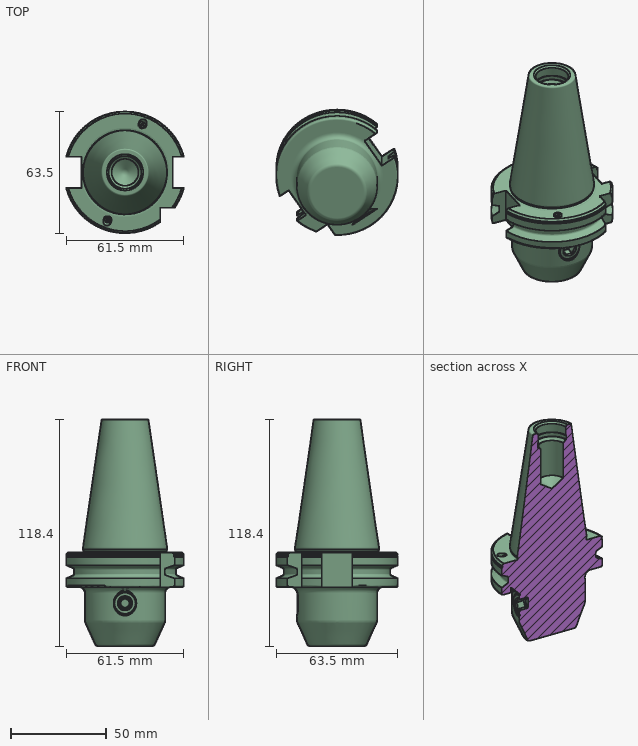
import cadquery as cq
import math


GAUGE_DIAMETER = 44.45
TAPER_LENGTH = 68.4
TAPER_RATIO = 7 / 24
TAPER_END_Z = 1.5
SHANK_TOP_FILLET = 0.75
COLLAR_END_Z = 0.55

UNDERCUT_RADIAL_DEPTH = 0.3
UNDERCUT_RAMP_HEIGHT = 0.9
UNDERCUT_FACE_DEPTH = 0.25
UNDERCUT_FACE_RADIUS = 23.2
NECK_FILLET = 0.6

FLANGE_RADIUS = 63.54 / 2
FLANGE_TOP_Z = -0.95
FLANGE_BOTTOM_Z = -19.1
FLANGE_TOP_CHAMFER = 1.1
FLANGE_BOTTOM_FILLET = 1.0

GROOVE_Z = -11.1
GROOVE_FLOOR_RADIUS = 27.85
GROOVE_FLOOR_FILLET = 0.8
GROOVE_MOUTH_WIDTH = 6.9
GROOVE_FLANK_ANGLE = 24.0

RIM_GROOVE_WIDTH = 1.4
RIM_GROOVE_DEPTH = 0.4

SLOT_WIDTH = 16.1
SLOT_DEEP_X = -22.8
SLOT_SHALLOW_X = 25.0
NOTCH_DISTANCE = 18.5

BODY_RADIUS = 21.0
BODY_FLANGE_FILLET = 3.0
NOSE_START_Z = -37.1
NOSE_END_Z = -50.0
NOSE_END_RADIUS = 15.1
NOSE_SHOULDER_FILLET = 2.5
NOSE_END_FILLET = 2.0

PILOT_RADIUS = 8.5
PILOT_DEPTH = 8.4
PILOT_MOUTH_CHAMFER = 1.0
PILOT_UNDERCUT_RADIUS = 8.9
PILOT_UNDERCUT_WIDTH = 2.4
THREAD_RADIUS = 7.0
THREAD_DEPTH = 30.0
DRILL_TIP_ANGLE = 118.0

SCREW_Z = -27.5
SCREW_RADIUS = 6.0
SCREW_SEAT_RADIUS = 6.5
SCREW_FACE_Y = -20.7
SCREW_LENGTH = 12.0
SCREW_CHAMFER = 0.5
SOCKET_MOUTH_RADIUS = 3.8
SOCKET_FLATS = 6.0
SOCKET_DEPTH = 5.0
SOCKET_FLOOR_RADIUS = 2.3

COOLANT_PITCH_RADIUS = 27.0
COOLANT_ANGLES = (70.0, 250.0)
COOLANT_TILT = 30.0
COOLANT_RADIUS = 2.1
COOLANT_DEPTH = 2.0
COOLANT_SOCKET_FLATS = 2.0
COOLANT_SOCKET_DEPTH = 1.5

OVERSHOOT = 5.0
TOLERANCE = 1e-4


def taper_radius(z):
    return (GAUGE_DIAMETER - z * TAPER_RATIO) / 2


def revolve_profile(points):
    """Turn a closed outline of (radius, z) points around the Z axis."""
    return cq.Workplane("XZ").polyline(points).close().revolve(360, (0, 0, 0), (0, 1, 0))


def fillet_circle(solid, radius, z, size):
    """Round the circular edge that has the given radius and height."""
    matches = [
        edge for edge in solid.edges("%CIRCLE").vals()
        if math.isclose(edge.radius(), radius, abs_tol=TOLERANCE)
        and math.isclose(edge.Center().z, z, abs_tol=TOLERANCE)
    ]
    return solid.newObject(matches).fillet(size)


def hexagon_prism(plane, flats, depth):
    """Hexagonal prism grown along the normal of the plane."""
    return cq.Workplane(plane).polygon(6, flats / math.cos(math.pi / 6)).extrude(depth)


def turned_body():
    top_radius = taper_radius(TAPER_LENGTH)
    collar_radius = taper_radius(TAPER_END_Z)
    neck_radius = collar_radius - UNDERCUT_RADIAL_DEPTH
    neck_end_z = FLANGE_TOP_Z - UNDERCUT_FACE_DEPTH
    body = revolve_profile([
        (0, TAPER_LENGTH),
        (top_radius, TAPER_LENGTH),
        (collar_radius, TAPER_END_Z),
        (collar_radius, COLLAR_END_Z),
        (neck_radius, COLLAR_END_Z - UNDERCUT_RAMP_HEIGHT),
        (neck_radius, neck_end_z),
        (UNDERCUT_FACE_RADIUS, FLANGE_TOP_Z),
        (FLANGE_RADIUS - FLANGE_TOP_CHAMFER, FLANGE_TOP_Z),
        (FLANGE_RADIUS, FLANGE_TOP_Z - FLANGE_TOP_CHAMFER),
        (FLANGE_RADIUS, FLANGE_BOTTOM_Z),
        (BODY_RADIUS, FLANGE_BOTTOM_Z),
        (BODY_RADIUS, NOSE_START_Z),
        (NOSE_END_RADIUS, NOSE_END_Z),
        (0, NOSE_END_Z),
    ])
    body = fillet_circle(body, top_radius, TAPER_LENGTH, SHANK_TOP_FILLET)
    body = fillet_circle(body, neck_radius, neck_end_z, NECK_FILLET)
    body = fillet_circle(body, FLANGE_RADIUS, FLANGE_BOTTOM_Z, FLANGE_BOTTOM_FILLET)
    body = fillet_circle(body, BODY_RADIUS, FLANGE_BOTTOM_Z, BODY_FLANGE_FILLET)
    body = fillet_circle(body, BODY_RADIUS, NOSE_START_Z, NOSE_SHOULDER_FILLET)
    return fillet_circle(body, NOSE_END_RADIUS, NOSE_END_Z, NOSE_END_FILLET)


def gripper_groove():
    outer_radius = FLANGE_RADIUS + OVERSHOOT
    flank_slope = math.tan(math.radians(GROOVE_FLANK_ANGLE))
    floor_half = GROOVE_MOUTH_WIDTH / 2 - (FLANGE_RADIUS - GROOVE_FLOOR_RADIUS) * flank_slope
    outer_half = GROOVE_MOUTH_WIDTH / 2 + OVERSHOOT * flank_slope
    groove = revolve_profile([
        (GROOVE_FLOOR_RADIUS, GROOVE_Z + floor_half),
        (outer_radius, GROOVE_Z + outer_half),
        (outer_radius, GROOVE_Z - outer_half),
        (GROOVE_FLOOR_RADIUS, GROOVE_Z - floor_half),
    ])
    for edge_z in (GROOVE_Z + floor_half, GROOVE_Z - floor_half):
        groove = fillet_circle(groove, GROOVE_FLOOR_RADIUS, edge_z, GROOVE_FLOOR_FILLET)
    return groove


def rim_groove():
    start_z = FLANGE_TOP_Z - FLANGE_TOP_CHAMFER
    return revolve_profile([
        (FLANGE_RADIUS, start_z),
        (FLANGE_RADIUS - RIM_GROOVE_DEPTH, start_z - RIM_GROOVE_WIDTH / 2),
        (FLANGE_RADIUS, start_z - RIM_GROOVE_WIDTH),
    ])


def flange_block(x_start, x_end, y_start, y_end):
    """Cutting block over the whole flange height."""
    return (
        cq.Workplane("XY", origin=(0, 0, FLANGE_BOTTOM_Z - OVERSHOOT))
        .moveTo((x_start + x_end) / 2, (y_start + y_end) / 2)
        .rect(abs(x_end - x_start), abs(y_end - y_start))
        .extrude(FLANGE_TOP_Z - FLANGE_BOTTOM_Z + 2 * OVERSHOOT)
    )


def drive_cutouts():
    reach = FLANGE_RADIUS + OVERSHOOT
    deep_slot = flange_block(-reach, SLOT_DEEP_X, -SLOT_WIDTH / 2, SLOT_WIDTH / 2)
    shallow_slot = flange_block(SLOT_SHALLOW_X, reach, -SLOT_WIDTH / 2, SLOT_WIDTH / 2)
    notch = flange_block(NOTCH_DISTANCE, reach, -reach, -NOTCH_DISTANCE)
    return deep_slot.union(shallow_slot).union(notch)


def drawbar_bore():
    pilot_floor_z = TAPER_LENGTH - PILOT_DEPTH
    thread_end_z = TAPER_LENGTH - THREAD_DEPTH
    tip_height = THREAD_RADIUS / math.tan(math.radians(DRILL_TIP_ANGLE / 2))
    return revolve_profile([
        (0, TAPER_LENGTH),
        (PILOT_RADIUS + PILOT_MOUTH_CHAMFER, TAPER_LENGTH),
        (PILOT_RADIUS, TAPER_LENGTH - PILOT_MOUTH_CHAMFER),
        (PILOT_RADIUS, pilot_floor_z + PILOT_UNDERCUT_WIDTH),
        (PILOT_UNDERCUT_RADIUS, pilot_floor_z + PILOT_UNDERCUT_WIDTH),
        (PILOT_UNDERCUT_RADIUS, pilot_floor_z),
        (PILOT_RADIUS, pilot_floor_z),
        (THREAD_RADIUS, pilot_floor_z - (PILOT_RADIUS - THREAD_RADIUS)),
        (THREAD_RADIUS, thread_end_z),
        (0, thread_end_z - tip_height),
    ])


def revolve_on_screw_axis(points):
    """Turn a closed outline of (radius, y) points around the axis of the side-lock screw."""
    return (
        cq.Workplane("XY", origin=(0, 0, SCREW_Z))
        .polyline(points).close().revolve(360, (0, 0, 0), (0, 1, 0))
    )


def side_screw_hole():
    """Screw hole with its countersunk mouth."""
    outside_y = -BODY_RADIUS - OVERSHOOT
    return revolve_on_screw_axis([
        (0, outside_y),
        (SCREW_SEAT_RADIUS + OVERSHOOT, outside_y),
        (SCREW_RADIUS, -BODY_RADIUS + SCREW_SEAT_RADIUS - SCREW_RADIUS),
        (SCREW_RADIUS, SCREW_FACE_Y + SCREW_LENGTH),
        (0, SCREW_FACE_Y + SCREW_LENGTH),
    ])


def side_screw():
    """Screw with a chamfered rim and a countersunk hexagon socket that ends in a blunt cone."""
    socket_radius = SOCKET_FLATS / 2
    countersink_end_y = SCREW_FACE_Y + SOCKET_MOUTH_RADIUS - socket_radius
    socket_end_y = SCREW_FACE_Y + SOCKET_DEPTH
    floor_y = socket_end_y + socket_radius - SOCKET_FLOOR_RADIUS
    screw = revolve_on_screw_axis([
        (SOCKET_MOUTH_RADIUS, SCREW_FACE_Y),
        (SCREW_RADIUS - SCREW_CHAMFER, SCREW_FACE_Y),
        (SCREW_RADIUS, SCREW_FACE_Y + SCREW_CHAMFER),
        (SCREW_RADIUS, SCREW_FACE_Y + SCREW_LENGTH),
        (0, SCREW_FACE_Y + SCREW_LENGTH),
        (0, floor_y),
        (SOCKET_FLOOR_RADIUS, floor_y),
        (socket_radius, socket_end_y),
        (socket_radius, countersink_end_y),
    ])
    socket_plane = cq.Plane(origin=(0, SCREW_FACE_Y, SCREW_Z), xDir=(1, 0, 0), normal=(0, 1, 0))
    return screw.cut(hexagon_prism(socket_plane, SOCKET_FLATS, SOCKET_DEPTH))


def coolant_hole(angle):
    direction = math.radians(angle)
    tilt = math.radians(COOLANT_TILT)
    outward = cq.Vector(math.cos(direction), math.sin(direction), 0)
    tangent = cq.Vector(-math.sin(direction), math.cos(direction), 0)
    down = outward * -math.sin(tilt) + cq.Vector(0, 0, -math.cos(tilt))
    mouth = outward * COOLANT_PITCH_RADIUS + cq.Vector(0, 0, FLANGE_TOP_Z)
    start = mouth - down * OVERSHOOT
    hole_plane = cq.Plane(origin=start, xDir=tangent, normal=down)
    hole = cq.Workplane(hole_plane).circle(COOLANT_RADIUS).extrude(OVERSHOOT + COOLANT_DEPTH)
    socket_plane = cq.Plane(origin=mouth + down * COOLANT_DEPTH, xDir=tangent, normal=down)
    return hole.union(hexagon_prism(socket_plane, COOLANT_SOCKET_FLATS, COOLANT_SOCKET_DEPTH))


result = turned_body()
result = result.cut(gripper_groove()).cut(rim_groove())
result = result.cut(drive_cutouts())
result = result.cut(drawbar_bore())
result = result.cut(side_screw_hole()).union(side_screw())
for hole_angle in COOLANT_ANGLES:
    result = result.cut(coolant_hole(hole_angle))